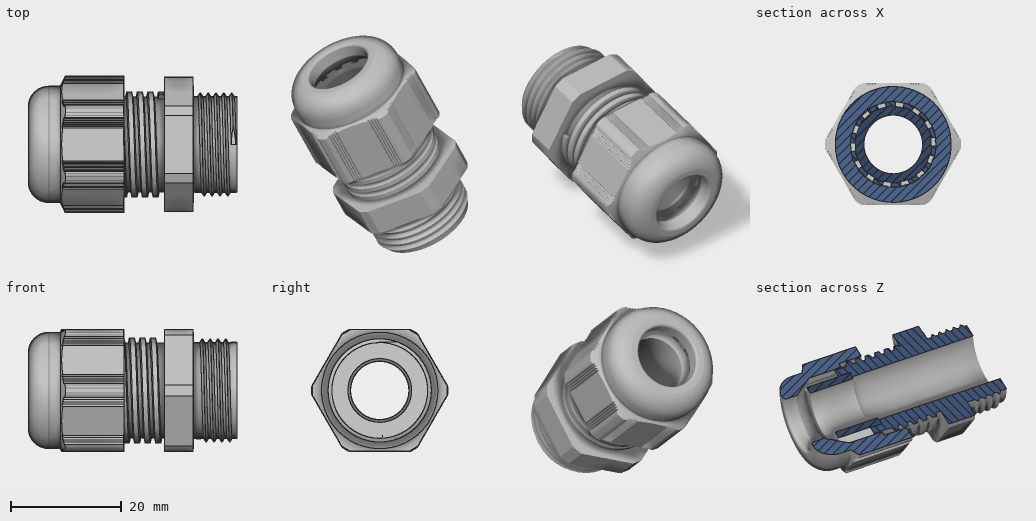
import cadquery as cq
import math


overall_length = 37.62
hex_flats = 22.0
hex_apothem = hex_flats / 2
mouth_radius = 11.6 / 2
seat_start = 2.6
finger_front = 5.0
finger_tip_radius = 7.67
seat_slope = (finger_tip_radius - mouth_radius) / (finger_front - seat_start)

thread_overlap = 0.08

cap_length = 17.23
cap_corner_radius = 24.6 / 2
cap_corner_fillet = 1.13
dome_radius = 21.0 / 2
dome_length = 3.72
dome_face_radius = 7.3
collar_start = 5.8
collar_start_radius = 10.6
collar_cone_length = 0.85
mouth_fillet = 0.53
cap_bore_radius = 17.45 / 2
cap_thread_radius = 19.35 / 2
cap_thread_start = 12.8

grooves_per_group = 4
groove_pitch = 0.47
groove_depth = 0.4
groove_group_offset = 3.95

finger_count = 14
slot_angle = 11.0
slot_phase = -3.9
slot_end = 11.3
body_bore_radius = 11.5 / 2
cap_side_radius = 17.2 / 2
hex_start = 24.5
hex_end = 29.7
hex_corner_flats = 24.25
washer_radius = 21.0 / 2
washer_thickness = 0.1
outlet_radius = 17.25 / 2

cap_pitch = 1.905
cap_thread_crest_radius = 19.0 / 2
cap_thread_x = 23.9
cap_thread_turns = 5
cap_thread_end_angle = 18.5
cap_crest_width = 0.85
cap_root_width = 1.3

outlet_pitch = 1.41
outlet_thread_crest_radius = 18.62 / 2
outlet_thread_x = 31.0
outlet_crest_width = 0.05
outlet_root_width = 1.0
outlet_thread_turns = 4.5
runout_height = 8.75
shave_length = 1.1
shave_width = 3.75
shave_height = 1.88

seal_outer_radius = 13.77 / 2
seal_bore_radius = 10.5 / 2
seal_end = 13.55


def along_x(radius, start, end):
    """Cylinder around the X axis."""
    return cq.Workplane("YZ", origin=(start, 0, 0)).circle(radius).extrude(end - start)


def hex_prism(flats, start, end, turn=0):
    """Hexagon around the X axis with flats facing +Z and -Z before it is turned."""
    corner_diameter = flats / math.cos(math.pi / 6)
    prism = cq.Workplane("YZ", origin=(start, 0, 0)).polygon(6, corner_diameter).extrude(end - start)
    return prism.rotate((0, 0, 0), (1, 0, 0), turn)


def revolve_x(profile):
    """Turn an outline in the XY plane around the X axis."""
    return profile.close().revolve(360, (0, 0, 0), (1, 0, 0))


def seat_x(radius):
    """Where the clamping cone has the given radius."""
    return seat_start + (radius - mouth_radius) / seat_slope


def helical_ridge(core, crest, root_width, crest_width, pitch, start_x, start_angle, turn_angle):
    """Right-handed thread ridge around X; angles in degrees, from +Y towards +Z."""
    foot = core - thread_overlap
    profile = (
        cq.Workplane("XZ")
        .polyline([
            (foot, -root_width / 2),
            (crest, -crest_width / 2),
            (crest, crest_width / 2),
            (foot, root_width / 2),
        ])
        .close()
    )
    helix = cq.Workplane(obj=cq.Wire.makeHelix(pitch, pitch * turn_angle / 360, core))
    ridge = profile.sweep(helix, isFrenet=True)
    ridge = ridge.rotate((0, 0, 0), (1, 1, 1), 120)
    return ridge.rotate((0, 0, 0), (1, 0, 0), start_angle).translate((start_x, 0, 0))


def cap_grooves():
    """V-grooves beside the corners of every flat, over the length of the hexagon."""
    grooves = cq.Workplane("YZ", origin=(collar_start, 0, 0))
    for side in (-1, 1):
        for index in range(grooves_per_group):
            y = side * groove_group_offset + (index - (grooves_per_group - 1) / 2) * groove_pitch
            grooves = grooves.polyline([
                (y - groove_pitch / 2, hex_apothem),
                (y, hex_apothem - groove_depth),
                (y + groove_pitch / 2, hex_apothem),
            ]).close()
    return grooves.extrude(cap_length - collar_start)


def make_cap():
    radial_drop = dome_radius - dome_face_radius
    arc_radius = (dome_length**2 + radial_drop**2) / (2 * radial_drop)
    arc_centre = dome_radius - arc_radius
    half_angle = math.asin(dome_length / arc_radius) / 2
    arc_middle = (
        dome_length - arc_radius * math.sin(half_angle),
        arc_centre + arc_radius * math.cos(half_angle),
    )
    outside = revolve_x(
        cq.Workplane("XY")
        .moveTo(0, 0)
        .lineTo(0, dome_face_radius)
        .threePointArc(arc_middle, (dome_length, dome_radius))
        .lineTo(collar_start, dome_radius)
        .lineTo(collar_start, collar_start_radius)
        .lineTo(collar_start + collar_cone_length, cap_corner_radius)
        .lineTo(cap_length, cap_corner_radius)
        .lineTo(cap_length, 0)
    )
    collar = hex_prism(hex_flats, collar_start, cap_length).intersect(
        along_x(cap_corner_radius, collar_start, cap_length)
    )
    collar = collar.edges("|X").fillet(cap_corner_fillet)
    cap = outside.intersect(collar.union(along_x(dome_radius, 0, collar_start)))
    grooves = cap_grooves()
    for flat in range(6):
        cap = cap.cut(grooves.rotate((0, 0, 0), (1, 0, 0), flat * 60))

    inside = revolve_x(
        cq.Workplane("XY")
        .moveTo(0, 0)
        .lineTo(0, mouth_radius + mouth_fillet)
        .radiusArc((mouth_fillet, mouth_radius), -mouth_fillet)
        .lineTo(seat_start, mouth_radius)
        .lineTo(seat_x(cap_bore_radius), cap_bore_radius)
        .lineTo(cap_thread_start, cap_bore_radius)
        .lineTo(cap_thread_start, cap_thread_radius)
        .lineTo(cap_length, cap_thread_radius)
        .lineTo(cap_length, 0)
    )
    return cap.cut(inside)


def finger_slots():
    """Wedge-shaped slots that split the front of the body into clamping fingers."""
    reach = 2 * cap_side_radius
    half_width = reach * math.tan(math.radians(slot_angle / 2))
    slot = (
        cq.Workplane("YZ", origin=(finger_front, 0, 0))
        .polyline([(0, 0), (reach, -half_width), (reach, half_width)])
        .close()
        .extrude(slot_end - finger_front)
    )
    return [
        slot.rotate((0, 0, 0), (1, 0, 0), slot_phase + index * 360 / finger_count)
        for index in range(finger_count)
    ]


def cap_side_thread():
    """Flat-topped thread that starts inside the cap nut and ends at the hexagon."""
    return helical_ridge(
        cap_side_radius, cap_thread_crest_radius, cap_root_width, cap_crest_width, cap_pitch,
        cap_thread_x - cap_thread_turns * cap_pitch, 0, cap_thread_turns * 360 + cap_thread_end_angle,
    )


def outlet_thread():
    """Sharp thread from the bottom to the top, shaved flat where it starts and ends."""
    start_x = outlet_thread_x - outlet_pitch / 4
    end_x = start_x + outlet_thread_turns * outlet_pitch
    ridge = helical_ridge(
        outlet_radius, outlet_thread_crest_radius, outlet_root_width, outlet_crest_width, outlet_pitch,
        start_x, -90, outlet_thread_turns * 360,
    )
    for x, side in ((start_x, -1), (end_x, 1)):
        shave = cq.Workplane("XY").box(shave_length, shave_width, shave_height)
        ridge = ridge.cut(
            shave.translate((x, shave_width / 2, side * (runout_height + shave_height / 2)))
        )
    return ridge


def make_body():
    body = revolve_x(
        cq.Workplane("XY")
        .moveTo(finger_front, 0)
        .lineTo(finger_front, finger_tip_radius)
        .lineTo(seat_x(cap_side_radius), cap_side_radius)
        .lineTo(hex_start, cap_side_radius)
        .lineTo(hex_start, outlet_radius)
        .lineTo(overall_length, outlet_radius)
        .lineTo(overall_length, 0)
    )
    hexagon = hex_prism(hex_flats, hex_start, hex_end).intersect(
        hex_prism(hex_corner_flats, hex_start, hex_end, 30)
    )
    body = body.union(hexagon).union(along_x(washer_radius, hex_end, hex_end + washer_thickness))
    body = body.cut(along_x(seal_outer_radius, finger_front, seal_end))
    body = body.cut(along_x(body_bore_radius, seal_end, overall_length))
    for slot in finger_slots():
        body = body.cut(slot)
    return body.union(cap_side_thread()).union(outlet_thread())


def make_seal():
    return along_x(seal_outer_radius, finger_front, seal_end).cut(
        along_x(seal_bore_radius, finger_front, seal_end)
    )


cap = make_cap()
body = make_body()
seal = make_seal()

result = cq.Compound.makeCompound([cap.val(), body.val(), seal.val()])